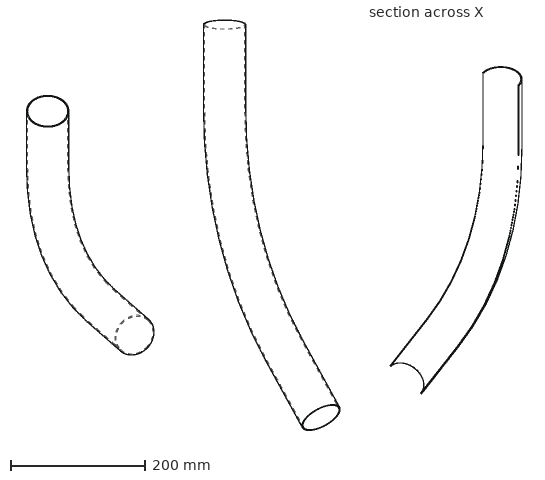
import cadquery as cq
import math

total_height = 634.0
outer_diameter = 63.5
inner_diameter = 59.5
bend_radius = 762.0
bend_angle = 30.0

angle = math.radians(bend_angle)
bend_height = bend_radius * math.sin(angle)
end_face_drop = outer_diameter / 2 * math.sin(angle)
leg_length = (total_height - bend_height - end_face_drop) / (1 + math.cos(angle))


def bend_point(turn):
    """Centreline point (Y, Z) of the bend after turning by the given angle."""
    y = bend_radius * (1 - math.cos(turn))
    z = -leg_length - bend_radius * math.sin(turn)
    return y, z


bend_end_y, bend_end_z = bend_point(angle)
lower_end = (
    bend_end_y + leg_length * math.sin(angle),
    bend_end_z - leg_length * math.cos(angle),
)
centreline = (
    cq.Workplane("YZ")
    .lineTo(0, -leg_length)
    .threePointArc(bend_point(angle / 2), bend_point(angle))
    .lineTo(*lower_end)
)

result = (
    cq.Workplane("XY")
    .circle(outer_diameter / 2)
    .circle(inner_diameter / 2)
    .sweep(centreline)
)